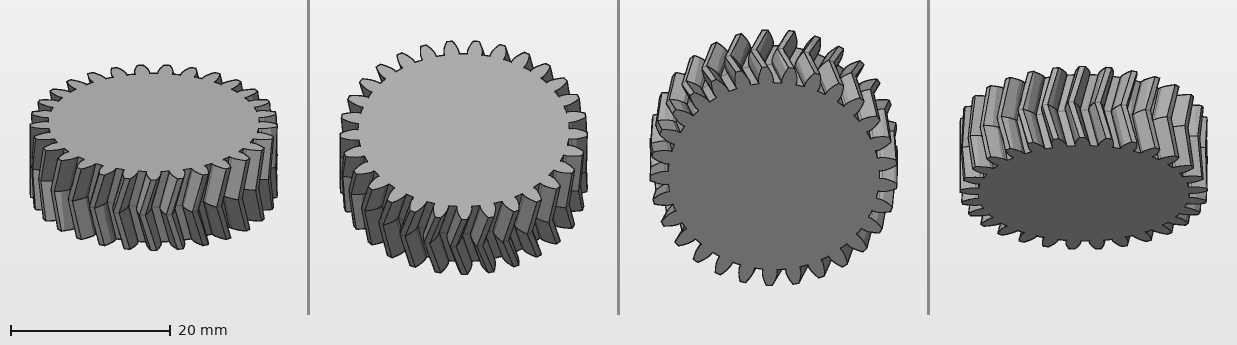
import cadquery as cq
import math

outer_diameter = 31.0
tooth_count = 29
pressure_angle = math.radians(20)
helix_angle = math.radians(15)
addendum_factor = 1.0
dedendum_factor = 1.25
width_in_modules = 10
flank_point_count = 6

module = outer_diameter / (tooth_count + 2 * addendum_factor)
pitch_radius = module * tooth_count / 2
base_radius = pitch_radius * math.cos(pressure_angle)
tip_radius = outer_diameter / 2
root_radius = pitch_radius - dedendum_factor * module
half_width = width_in_modules * module / 2
half_twist = math.degrees(half_width * math.tan(helix_angle) / pitch_radius)

tooth_pitch = 2 * math.pi / tooth_count


def involute(angle):
    return math.tan(angle) - angle


base_half_angle = tooth_pitch / 4 + involute(pressure_angle)


def polar(radius, angle):
    return (radius * math.cos(angle), radius * math.sin(angle))


def tooth_half_angle(radius):
    """Half the angle that a tooth spans at a radius between the base circle and the tip."""
    return base_half_angle - involute(math.acos(min(1.0, base_radius / radius)))


def flank(tooth_center, side):
    """Involute points from base circle to tip; side is -1 or +1."""
    step = (tip_radius - base_radius) / (flank_point_count - 1)
    radii = [base_radius + i * step for i in range(flank_point_count)]
    return [polar(r, tooth_center + side * tooth_half_angle(r)) for r in radii]


def gear_outline():
    """Closed outline: radial below the base circle, involute above it, arcs at tip and root."""
    outline = cq.Workplane("XY").moveTo(*polar(root_radius, -base_half_angle))
    for tooth in range(tooth_count):
        center = tooth * tooth_pitch
        rising = flank(center, -1)
        falling = flank(center, 1)[::-1]
        outline = outline.lineTo(*rising[0])
        outline = outline.spline(rising[1:], includeCurrent=True)
        outline = outline.threePointArc(polar(tip_radius, center), falling[0])
        outline = outline.spline(falling[1:], includeCurrent=True)
        outline = outline.lineTo(*polar(root_radius, center + base_half_angle))
        outline = outline.threePointArc(
            polar(root_radius, center + tooth_pitch / 2),
            polar(root_radius, center + tooth_pitch - base_half_angle),
        )
    return outline.close()


upper_half = gear_outline().twistExtrude(half_width, half_twist)
lower_half = upper_half.mirror("XY")
result = upper_half.union(lower_half).translate((0, 0, half_width))